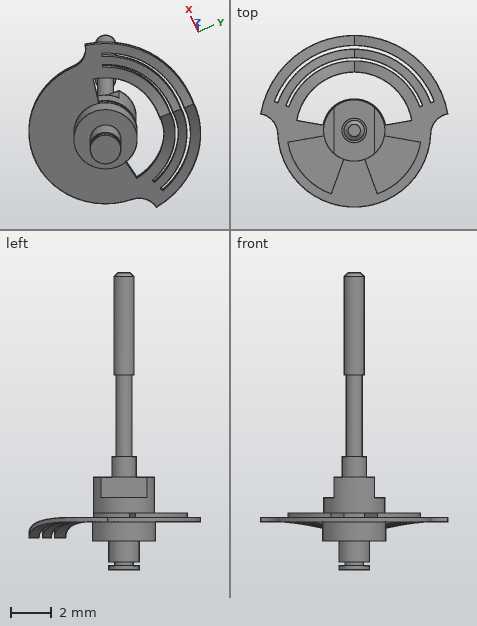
import cadquery as cq
import math

FLANGE_THICKNESS = 0.2
GROOVE_WIDTH = 0.18
JOURNAL_LENGTH = 1.4
BUSHING_HEIGHT = 0.95
PLATE_THICKNESS = 0.22
PAD_THICKNESS = 0.22
HUB_HEIGHT = 1.74
FLAT_HEIGHT = 1.0
COLLAR_LENGTH = 1.0
NECK_LENGTH = 4.0
TIP_LENGTH = 5.0

PLATE_BOTTOM = JOURNAL_LENGTH + BUSHING_HEIGHT
PLATE_TOP = PLATE_BOTTOM + PLATE_THICKNESS
HUB_BOTTOM = PLATE_TOP + PAD_THICKNESS
HUB_TOP = HUB_BOTTOM + HUB_HEIGHT
COLLAR_TOP = HUB_TOP + COLLAR_LENGTH
NECK_TOP = COLLAR_TOP + NECK_LENGTH

JOURNAL_DIAMETER = 1.5
GROOVE_DIAMETER = 0.92
BUSHING_DIAMETER = 3.1
HUB_DIAMETER = 3.0
COLLAR_DIAMETER = 1.2
NECK_DIAMETER = 0.8
TIP_DIAMETER = 1.0
TIP_CHAMFER = 0.2
WIDTH_ACROSS_FLATS = 2.0

PAD_RADIUS = 3.3
PAD_START_ANGLE = 10
PAD_END_ANGLE = 70

RIM_RADIUS = 3.75
FINGER_OUTER_RADIUS = 4.65
CORNER_FILLET_RADIUS = 1.0
WINDOW_RADIUS = 2.85
SHOULDER_ANGLE = 10
SLOT_END_ANGLE = 20
BEND_ANGLE = 30
APEX_ANGLE = 90
INNER_SLOT_RADII = (3.41, 3.55)
OUTER_SLOT_RADII = (3.98, 4.15)
FINGER_DROP = 0.79
DROP_EXPONENT = 2.3
RAMP_STATIONS = 12
TRIM_MARGIN = 0.5


def polar(radius, angle):
    """Point at a radius and an angle in degrees."""
    return (radius * math.cos(math.radians(angle)), radius * math.sin(math.radians(angle)))


def disc(diameter, bottom, height):
    """Upright cylinder on the spindle axis."""
    return cq.Workplane("XY").workplane(offset=bottom).circle(diameter / 2).extrude(height)


def ring_sector(inner_radius, outer_radius, start_angle, end_angle, bottom, height):
    """Flat ring segment between two radii and two angles."""
    middle_angle = (start_angle + end_angle) / 2
    return (
        cq.Workplane("XY")
        .workplane(offset=bottom)
        .moveTo(*polar(inner_radius, start_angle))
        .lineTo(*polar(outer_radius, start_angle))
        .threePointArc(polar(outer_radius, middle_angle), polar(outer_radius, end_angle))
        .lineTo(*polar(inner_radius, end_angle))
        .threePointArc(polar(inner_radius, middle_angle), polar(inner_radius, start_angle))
        .close()
        .extrude(height)
    )


def make_spindle():
    """One turned shaft: grooved journal, hub with two flats, collar, neck and chamfered tip."""
    groove_top = FLANGE_THICKNESS + GROOVE_WIDTH
    flats_bottom = HUB_TOP - FLAT_HEIGHT
    flats = (
        cq.Workplane("XY")
        .workplane(offset=flats_bottom)
        .rect(WIDTH_ACROSS_FLATS, HUB_DIAMETER)
        .extrude(FLAT_HEIGHT)
        .intersect(disc(HUB_DIAMETER, flats_bottom, FLAT_HEIGHT))
    )
    tip = disc(TIP_DIAMETER, NECK_TOP, TIP_LENGTH).faces(">Z").chamfer(TIP_CHAMFER)
    return (
        disc(JOURNAL_DIAMETER, 0, FLANGE_THICKNESS)
        .union(disc(GROOVE_DIAMETER, FLANGE_THICKNESS, GROOVE_WIDTH))
        .union(disc(JOURNAL_DIAMETER, groove_top, HUB_BOTTOM - groove_top))
        .union(disc(HUB_DIAMETER, HUB_BOTTOM, flats_bottom - HUB_BOTTOM))
        .union(flats)
        .union(disc(COLLAR_DIAMETER, HUB_TOP, COLLAR_LENGTH))
        .union(disc(NECK_DIAMETER, COLLAR_TOP, NECK_LENGTH))
        .union(tip)
    )


def make_bushing():
    """Plain sleeve on the journal, under the spring plate."""
    bore = disc(JOURNAL_DIAMETER, JOURNAL_LENGTH, BUSHING_HEIGHT)
    return disc(BUSHING_DIAMETER, JOURNAL_LENGTH, BUSHING_HEIGHT).cut(bore)


def make_pad_ring():
    """Ring on the journal carrying two contact pads."""
    ring = disc(HUB_DIAMETER, PLATE_TOP, PAD_THICKNESS)
    for start_angle in (-PAD_END_ANGLE, 180 + PAD_START_ANGLE):
        end_angle = start_angle + PAD_END_ANGLE - PAD_START_ANGLE
        ring = ring.union(
            ring_sector(JOURNAL_DIAMETER / 2, PAD_RADIUS, start_angle, end_angle, PLATE_TOP, PAD_THICKNESS)
        )
    return ring.cut(disc(JOURNAL_DIAMETER, PLATE_TOP, PAD_THICKNESS))


def finger_drop(angle):
    """How far the fingers have fallen below the plate at an angle."""
    progress = (angle - BEND_ANGLE) / (APEX_ANGLE - BEND_ANGLE)
    return FINGER_DROP * progress**DROP_EXPONENT


def make_strip():
    """Broad strip falling from the bend line to the apex, from which the fingers are cut."""
    inner_radius = WINDOW_RADIUS - TRIM_MARGIN
    outer_radius = FINGER_OUTER_RADIUS + TRIM_MARGIN
    sections = []
    for station in range(RAMP_STATIONS + 1):
        angle = BEND_ANGLE + (APEX_ANGLE - BEND_ANGLE) * station / RAMP_STATIONS
        bottom = PLATE_BOTTOM - finger_drop(angle)
        top = bottom + PLATE_THICKNESS
        inner = polar(inner_radius, angle)
        outer = polar(outer_radius, angle)
        corners = [(*inner, bottom), (*outer, bottom), (*outer, top), (*inner, top)]
        sections.append(cq.Wire.makePolygon([cq.Vector(*corner) for corner in corners], close=True))
    return cq.Workplane(cq.Solid.makeLoft(sections))


def make_plate_blank():
    """Flat outline: round rim, concave shoulders and the wider finger sector."""
    fillet_center_radius = RIM_RADIUS + CORNER_FILLET_RADIUS
    corner_to_center = math.degrees(
        math.acos(
            (FINGER_OUTER_RADIUS**2 + fillet_center_radius**2 - CORNER_FILLET_RADIUS**2)
            / (2 * FINGER_OUTER_RADIUS * fillet_center_radius)
        )
    )
    center_angle = SHOULDER_ANGLE - corner_to_center
    center = polar(fillet_center_radius, center_angle)
    rim = disc(2 * RIM_RADIUS, PLATE_BOTTOM, PLATE_THICKNESS)
    wide = ring_sector(
        WINDOW_RADIUS, FINGER_OUTER_RADIUS, center_angle, 180 - center_angle, PLATE_BOTTOM, PLATE_THICKNESS
    )
    relief = (
        cq.Workplane("XY")
        .workplane(offset=PLATE_BOTTOM)
        .pushPoints([center, (-center[0], center[1])])
        .circle(CORNER_FILLET_RADIUS)
        .extrude(PLATE_THICKNESS)
    )
    return rim.union(wide).cut(relief)


def plate_opening(inner_radius, outer_radius, start_angle):
    """Through cut in the flat plate, symmetric about Y, from a start angle on the +X side."""
    return ring_sector(
        inner_radius, outer_radius, start_angle, 180 - start_angle, PLATE_BOTTOM, PLATE_THICKNESS
    )


def make_flat_plate():
    """Flat part of the plate: window, slot ends, hub ring and bore, open where the fingers fall."""
    hub_ring = disc(BUSHING_DIAMETER, PLATE_BOTTOM, PLATE_THICKNESS)
    bore = disc(JOURNAL_DIAMETER, PLATE_BOTTOM, PLATE_THICKNESS)
    plate = make_plate_blank()
    plate = plate.cut(plate_opening(JOURNAL_DIAMETER / 2, WINDOW_RADIUS, SHOULDER_ANGLE))
    plate = plate.union(hub_ring).cut(bore)
    for inner_radius, outer_radius in (INNER_SLOT_RADII, OUTER_SLOT_RADII):
        plate = plate.cut(plate_opening(inner_radius, outer_radius, SLOT_END_ANGLE))
    return plate.cut(plate_opening(WINDOW_RADIUS, FINGER_OUTER_RADIUS + TRIM_MARGIN, BEND_ANGLE))


def make_finger(strip, inner_radius, outer_radius):
    """One finger: two mirrored halves of the strip that meet in a V on the YZ plane."""
    trim_bottom = PLATE_BOTTOM - FINGER_DROP - TRIM_MARGIN
    trim_height = PLATE_TOP + TRIM_MARGIN - trim_bottom
    ring = disc(2 * outer_radius, trim_bottom, trim_height).cut(
        disc(2 * inner_radius, trim_bottom, trim_height)
    )
    half = strip.intersect(ring)
    return half.union(half.mirror("YZ"), clean=False)


def make_spring_plate():
    """Flat plate with three fingers, one on each side of and one between the slots."""
    finger_radii = (
        (WINDOW_RADIUS, INNER_SLOT_RADII[0]),
        (INNER_SLOT_RADII[1], OUTER_SLOT_RADII[0]),
        (OUTER_SLOT_RADII[1], FINGER_OUTER_RADIUS),
    )
    strip = make_strip()
    plate = make_flat_plate()
    for inner_radius, outer_radius in finger_radii:
        plate = plate.union(make_finger(strip, inner_radius, outer_radius), clean=False)
    return plate


spindle = make_spindle()
bushing = make_bushing()
pad_ring = make_pad_ring()
spring_plate = make_spring_plate()

result = cq.Compound.makeCompound([
    spindle.solids().val(),
    bushing.solids().val(),
    pad_ring.solids().val(),
    spring_plate.solids().val(),
])